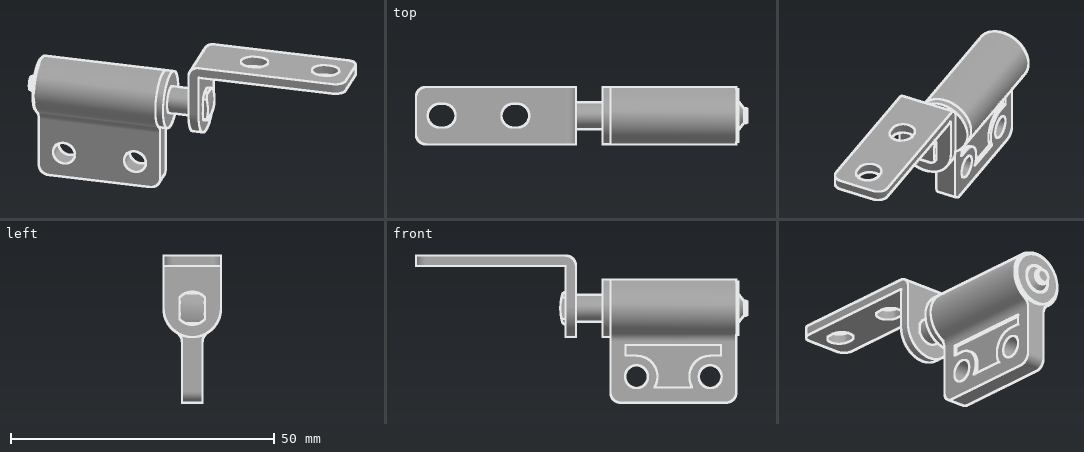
import cadquery as cq
import math

total_length = 63.1
knuckle_radius = 5.5
sheet_thickness = 2.0
corner_radius = 2.0

bracket_length = 30.5
bracket_top = 10.05
slot_length = 5.25
slot_width = 4.5
first_slot_x = 4.9
hole_pitch = 14.0

shaft_radius = 2.6
head_radius = 3.15
head_half_width = 2.4
head_height = 1.0
head_rim_height = 0.55
head_rim_half_height = 2.8
flare_radius = 2.8
tip_radius = 1.45
tip_length = 0.75
tip_chamfer_length = 0.4
tip_chamfer_depth = 0.2

collar_gap = 5.0
collar_thickness = 1.5
housing_length = 24.0
boss_radius = 5.05
boss_height = 0.4
leaf_thickness = 4.0
leaf_bottom = -18.0
leaf_hole_diameter = 4.3
leaf_hole_z = -13.0

recess_depth = 0.5
recess_half_length = 9.1
recess_top = -7.0
recess_bottom = -15.0
hole_land_radius = 4.0

bracket_inner_x = bracket_length - sheet_thickness
collar_x = bracket_length + collar_gap
housing_x = collar_x + collar_thickness
housing_end_x = housing_x + housing_length
boss_end_x = housing_end_x + boss_height
housing_mid_x = housing_x + housing_length / 2
leaf_half = leaf_thickness / 2
leaf_hole_offset = hole_pitch / 2


def x_cylinder(radius, start, end):
    """Round bar on the hinge axis."""
    return cq.Workplane("YZ", origin=(start, 0, 0)).circle(radius).extrude(end - start)


def double_flat_bar(radius, start, end):
    """Round bar on the hinge axis with flats on its +Y and -Y sides."""
    length = end - start
    slab = cq.Workplane("YZ", origin=(start, 0, 0)).rect(2 * head_half_width, 2 * radius).extrude(length)
    return x_cylinder(radius, start, end).intersect(slab)


def make_bracket():
    """L-shaped plate: slotted flat arm and a round-ended foot riveted to the shaft."""
    arm = (
        cq.Workplane("XY", origin=(0, 0, bracket_top - sheet_thickness))
        .rect(bracket_length, 2 * knuckle_radius)
        .extrude(sheet_thickness)
        .translate((bracket_length / 2, 0, 0))
        .edges("|Z and <X")
        .fillet(corner_radius)
    )
    foot = (
        cq.Workplane("YZ", origin=(bracket_inner_x, 0, 0))
        .moveTo(-knuckle_radius, bracket_top)
        .lineTo(-knuckle_radius, 0)
        .threePointArc((0, -knuckle_radius), (knuckle_radius, 0))
        .lineTo(knuckle_radius, bracket_top)
        .close()
        .extrude(sheet_thickness)
    )
    slots = (
        cq.Workplane("XY", origin=(0, 0, bracket_top))
        .pushPoints([(first_slot_x, 0), (first_slot_x + hole_pitch, 0)])
        .slot2D(slot_length, slot_width)
        .extrude(-sheet_thickness)
    )
    plate = arm.union(foot).edges("|Y and >X and >Z").fillet(corner_radius)
    shaft_hole = double_flat_bar(shaft_radius, bracket_inner_x, bracket_length)
    return plate.cut(slots).cut(shaft_hole)


def make_shaft_head():
    """Domed rivet head with two flats, on the outer face of the bracket foot."""
    rim_x = bracket_inner_x - head_rim_height
    dome = (
        cq.Workplane("XZ")
        .moveTo(bracket_inner_x, head_radius)
        .lineTo(rim_x, head_rim_half_height)
        .threePointArc((bracket_inner_x - head_height, 0), (rim_x, -head_rim_half_height))
        .lineTo(bracket_inner_x, -head_radius)
        .close()
        .extrude(head_radius, both=True)
    )
    blank = double_flat_bar(head_radius, bracket_inner_x - head_height, bracket_inner_x)
    return dome.intersect(blank)


def make_shaft():
    """Rivet head, flatted neck, round shank and a flared end with a small tip."""
    neck = double_flat_bar(shaft_radius, bracket_inner_x, bracket_length)
    tip_x = total_length - tip_length
    shank = (
        cq.Workplane("XY")
        .moveTo(bracket_length, 0)
        .lineTo(bracket_length, shaft_radius)
        .lineTo(boss_end_x, shaft_radius)
        .lineTo(boss_end_x, flare_radius)
        .lineTo(tip_x, tip_radius)
        .lineTo(total_length - tip_chamfer_length, tip_radius)
        .lineTo(total_length, tip_radius - tip_chamfer_depth)
        .lineTo(total_length, 0)
        .close()
        .revolve(360, (0, 0, 0), (1, 0, 0))
    )
    return make_shaft_head().union(neck).union(shank)


def make_collar():
    """Ring on the shaft against the end of the housing."""
    ring = x_cylinder(knuckle_radius, collar_x, housing_x)
    return ring.cut(x_cylinder(shaft_radius, collar_x, housing_x))


def make_leaf():
    """Flat leaf below the barrel, flared into it by a tangent blend on each side."""
    blend_y = leaf_half + corner_radius
    blend_distance = knuckle_radius + corner_radius
    blend_z = -math.sqrt(blend_distance**2 - blend_y**2)
    tangent_y = blend_y * knuckle_radius / blend_distance
    tangent_z = blend_z * knuckle_radius / blend_distance
    mid_angle = (math.pi + math.atan2(-blend_z, -blend_y)) / 2
    mid_y = blend_y + corner_radius * math.cos(mid_angle)
    mid_z = blend_z + corner_radius * math.sin(mid_angle)
    return (
        cq.Workplane("YZ", origin=(housing_x, 0, 0))
        .moveTo(tangent_y, tangent_z)
        .threePointArc((mid_y, mid_z), (leaf_half, blend_z))
        .lineTo(leaf_half, leaf_bottom)
        .lineTo(-leaf_half, leaf_bottom)
        .lineTo(-leaf_half, blend_z)
        .threePointArc((-mid_y, mid_z), (-tangent_y, tangent_z))
        .lineTo(0, 0)
        .close()
        .extrude(housing_length)
        .edges("|Y and <Z")
        .fillet(corner_radius)
    )


def make_recess():
    """Shallow T-shaped pocket whose stem curves around the two leaf holes."""
    arm_z = leaf_hole_z + hole_land_radius
    diagonal = hole_land_radius * math.sqrt(0.5)
    arc_mid_x = leaf_hole_offset - diagonal
    arc_mid_z = leaf_hole_z + diagonal
    drop = leaf_hole_z - recess_bottom
    stem_half = leaf_hole_offset - math.sqrt(hole_land_radius**2 - drop**2)
    return (
        cq.Workplane("XZ", origin=(housing_mid_x, -leaf_half, 0))
        .moveTo(-recess_half_length, recess_top)
        .lineTo(recess_half_length, recess_top)
        .lineTo(recess_half_length, arm_z)
        .lineTo(leaf_hole_offset, arm_z)
        .threePointArc((arc_mid_x, arc_mid_z), (stem_half, recess_bottom))
        .lineTo(-stem_half, recess_bottom)
        .threePointArc((-arc_mid_x, arc_mid_z), (-leaf_hole_offset, arm_z))
        .lineTo(-recess_half_length, arm_z)
        .close()
        .extrude(-recess_depth)
    )


def make_housing():
    """Barrel with an end boss, a mounting leaf and a bore for the shaft."""
    barrel = x_cylinder(knuckle_radius, housing_x, housing_end_x)
    boss = x_cylinder(boss_radius, housing_end_x, boss_end_x)
    leaf_holes = (
        cq.Workplane("XZ", origin=(housing_mid_x, 0, leaf_hole_z))
        .pushPoints([(-leaf_hole_offset, 0), (leaf_hole_offset, 0)])
        .circle(leaf_hole_diameter / 2)
        .extrude(leaf_half, both=True)
    )
    bore = x_cylinder(shaft_radius, housing_x, boss_end_x)
    body = barrel.union(make_leaf()).union(boss)
    return body.cut(leaf_holes).cut(make_recess()).cut(bore)


bracket = make_bracket()
shaft = make_shaft()
collar = make_collar()
housing = make_housing()

result = cq.Compound.makeCompound([bracket.val(), shaft.val(), collar.val(), housing.val()])